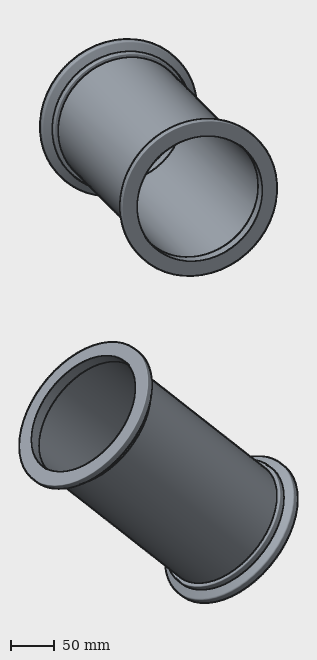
import cadquery as cq
import math

LENGTH = 276.0
BORE_DIAMETER = 153.0
TUBE_DIAMETER = 159.0

RIM_DIAMETER = 190.0
HUB_DIAMETER = 168.0
TAPER_ROOT = 12.5
TAPER_ANGLE = 20.0
FERRULE_LENGTH = 20.0
SOCKET_DEPTH = 5.8
FACE_FILLET = 0.8
BACK_FILLET = 2.2
HUB_FILLET = 1.0

TOLERANCE = 0.03

BORE_RADIUS = BORE_DIAMETER / 2
TUBE_RADIUS = TUBE_DIAMETER / 2
RIM_RADIUS = RIM_DIAMETER / 2
HUB_RADIUS = HUB_DIAMETER / 2
RIM_WIDTH = TAPER_ROOT - (RIM_RADIUS - HUB_RADIUS) * math.tan(math.radians(TAPER_ANGLE))
TUBE_END = FERRULE_LENGTH - SOCKET_DEPTH
TUBE_LENGTH = LENGTH - 2 * TUBE_END


def make_ferrule():
    """Ferrule with its sealing face at x = 0 and its tube socket facing +X."""
    profile = [
        (0, BORE_RADIUS),
        (0, RIM_RADIUS),
        (RIM_WIDTH, RIM_RADIUS),
        (TAPER_ROOT, HUB_RADIUS),
        (FERRULE_LENGTH, HUB_RADIUS),
        (FERRULE_LENGTH, TUBE_RADIUS),
        (TUBE_END, TUBE_RADIUS),
        (TUBE_END, BORE_RADIUS),
    ]
    body = cq.Workplane("XY").polyline(profile).close().revolve(360, (0, 0), (1, 0))
    for x, radius, fillet in [
        (0, RIM_RADIUS, FACE_FILLET),
        (RIM_WIDTH, RIM_RADIUS, BACK_FILLET),
        (FERRULE_LENGTH, HUB_RADIUS, HUB_FILLET),
    ]:
        edges_at_x = body.edges("%CIRCLE").filter(lambda edge: abs(edge.Center().x - x) < TOLERANCE)
        outer_edge = edges_at_x.filter(lambda edge: abs(edge.radius() - radius) < TOLERANCE)
        body = outer_edge.fillet(fillet)
    return body


def make_tube():
    """Plain tube seated between the two sockets."""
    return (
        cq.Workplane("YZ", origin=(-TUBE_LENGTH / 2, 0, 0))
        .circle(TUBE_RADIUS)
        .circle(BORE_RADIUS)
        .extrude(TUBE_LENGTH)
    )


ferrules = []
for turn in (0, 180):
    ferrule = make_ferrule().translate((-LENGTH / 2, 0, 0))
    ferrules.append(ferrule.rotate((0, 0, 0), (0, 0, 1), turn).val())

tube = make_tube()

result = cq.Compound.makeCompound([tube.val(), *ferrules])